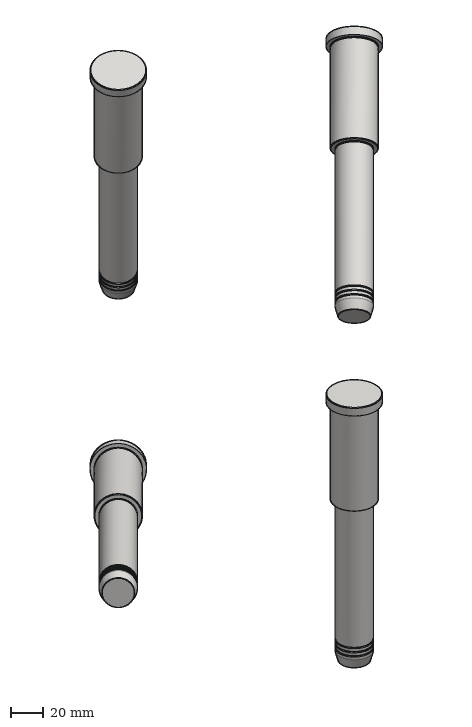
import cadquery as cq

TOTAL_LENGTH = 191.0
HEAD_HEIGHT = 6.0
SHOULDER_LENGTH = 70.0

HEAD_DIAMETER = 35.0
SHOULDER_DIAMETER = 30.0
PIN_DIAMETER = 24.0
NOSE_DIAMETER = 20.4

RELIEF_WIDTH = 1.0
RELIEF_DEPTH = 0.5

HEAD_CHAMFER = 0.5
SHOULDER_CHAMFER = 0.5
TIP_CHAMFER = 0.3

NOSE_LENGTH = 7.0
NOSE_BULGE = 0.1
GROOVE_COUNT = 3
GROOVE_WIDTH = 1.0
GROOVE_DEPTH = 0.5
GROOVE_PITCH = 3.0
FIRST_GROOVE_OFFSET = 2.0

HEAD_RADIUS = HEAD_DIAMETER / 2
SHOULDER_RADIUS = SHOULDER_DIAMETER / 2
PIN_RADIUS = PIN_DIAMETER / 2
NOSE_RADIUS = NOSE_DIAMETER / 2
HEAD_BOTTOM = TOTAL_LENGTH - HEAD_HEIGHT
SHOULDER_BOTTOM = HEAD_BOTTOM - SHOULDER_LENGTH


def make_body():
    """Revolve the half outline of head, shoulder, pin and rounded nose about Z."""
    nose_middle = ((NOSE_RADIUS + PIN_RADIUS) / 2 + NOSE_BULGE, (TIP_CHAMFER + NOSE_LENGTH) / 2)
    outline = (
        cq.Workplane("XZ")
        .moveTo(0, 0)
        .lineTo(NOSE_RADIUS - TIP_CHAMFER, 0)
        .lineTo(NOSE_RADIUS, TIP_CHAMFER)
        .threePointArc(nose_middle, (PIN_RADIUS, NOSE_LENGTH))
        .lineTo(PIN_RADIUS, SHOULDER_BOTTOM)
        .lineTo(SHOULDER_RADIUS - SHOULDER_CHAMFER, SHOULDER_BOTTOM)
        .lineTo(SHOULDER_RADIUS, SHOULDER_BOTTOM + SHOULDER_CHAMFER)
        .lineTo(SHOULDER_RADIUS, HEAD_BOTTOM)
        .lineTo(HEAD_RADIUS, HEAD_BOTTOM)
        .lineTo(HEAD_RADIUS, TOTAL_LENGTH - HEAD_CHAMFER)
        .lineTo(HEAD_RADIUS - HEAD_CHAMFER, TOTAL_LENGTH)
        .lineTo(0, TOTAL_LENGTH)
        .close()
    )
    return outline.revolve(360, (0, 0, 0), (0, 1, 0))


def make_groove_ring(surface_radius, depth, bottom, width):
    """Ring that cuts a V-shaped groove of the given depth into a cylindrical surface."""
    profile = (
        cq.Workplane("XZ")
        .moveTo(surface_radius, bottom)
        .lineTo(surface_radius - depth, bottom + width / 2)
        .lineTo(surface_radius, bottom + width)
        .close()
    )
    return profile.revolve(360, (0, 0, 0), (0, 1, 0))


def cut_reliefs(body):
    """Cut a relief groove directly below the head and directly below the shoulder."""
    for surface_radius, top in ((SHOULDER_RADIUS, HEAD_BOTTOM), (PIN_RADIUS, SHOULDER_BOTTOM)):
        relief = make_groove_ring(surface_radius, RELIEF_DEPTH, top - RELIEF_WIDTH, RELIEF_WIDTH)
        body = body.cut(relief)
    return body


def cut_oil_grooves(body):
    """Cut the evenly spaced oil grooves into the pin above its nose."""
    for index in range(GROOVE_COUNT):
        bottom = NOSE_LENGTH + FIRST_GROOVE_OFFSET + index * GROOVE_PITCH
        body = body.cut(make_groove_ring(PIN_RADIUS, GROOVE_DEPTH, bottom, GROOVE_WIDTH))
    return body


result = cut_oil_grooves(cut_reliefs(make_body()))